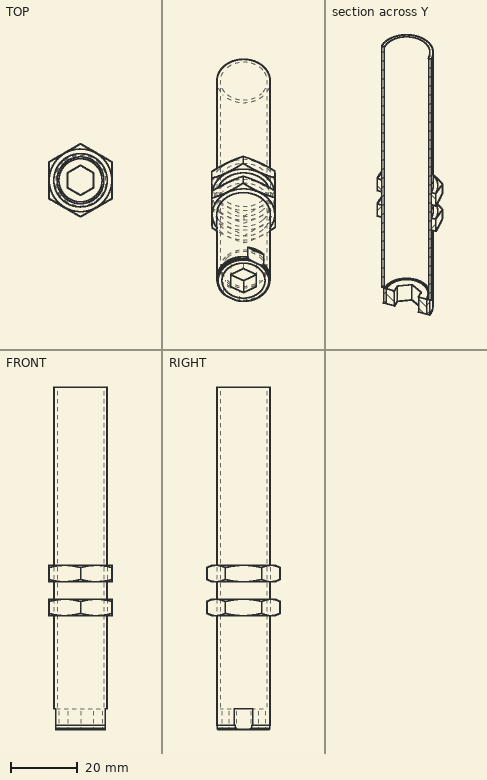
import cadquery as cq
import math

overall_length = 102.5
tube_diameter = 16.0
tube_bore = 14.0
end_diameter = 15.8
end_height = 1.2
end_chamfer = 0.3

flats_width = 15.0
flats_height = 6.2

plug_diameter = 12.9
plug_height = flats_height
hex_socket_width = 7.7

nut_width = 19.0
nut_thickness = 5.0
nut_face_diameter = 18.8
nut_bevel_angle = 25.0
nut_base_heights = (34.0, 44.2)


def hexagon_corner_diameter(width_across_flats):
    """Diameter of the circle through a hexagon's corners."""
    return width_across_flats / math.cos(math.pi / 6)


def hexagon(width_across_flats, height):
    """Hexagonal prism standing on Z = 0, with corners on the Y axis."""
    corner_diameter = hexagon_corner_diameter(width_across_flats)
    prism = cq.Workplane("XY").polygon(6, corner_diameter).extrude(height)
    return prism.rotate((0, 0, 0), (0, 0, 1), 90)


def cylinder(diameter, bottom, top):
    """Cylinder on the Z axis between two heights."""
    return cq.Workplane("XY").workplane(offset=bottom).circle(diameter / 2).extrude(top - bottom)


def cut_flats(body):
    """Trim the lower end of a body to the wrench flats on -X and +X."""
    end_zone = cylinder(2 * tube_diameter, 0, flats_height)
    kept_slab = cq.Workplane("XY").box(
        flats_width, 2 * tube_diameter, flats_height, centered=(True, True, False)
    )
    return body.cut(end_zone.cut(kept_slab))


def make_tube():
    """Sleeve with a wide bore above a narrower seat for the plug."""
    sleeve = cylinder(tube_diameter, end_height, overall_length)
    stepped_end = cylinder(end_diameter, 0, end_height).faces("<Z").chamfer(end_chamfer)
    wide_bore = cylinder(tube_bore, plug_height, overall_length)
    plug_seat = cylinder(plug_diameter, 0, plug_height)
    return cut_flats(sleeve.union(stepped_end).cut(wide_bore).cut(plug_seat))


def make_plug():
    """Round end plug with a hexagonal socket right through it."""
    return cylinder(plug_diameter, 0, plug_height).cut(hexagon(hex_socket_width, plug_height))


def make_nut(base_height):
    """Hexagonal lock nut with conically bevelled corners."""
    face_radius = nut_face_diameter / 2
    rim_radius = hexagon_corner_diameter(nut_width) / 2
    bevel_height = (rim_radius - face_radius) * math.tan(math.radians(nut_bevel_angle))
    bevelled_disc = (
        cq.Workplane("XZ")
        .moveTo(0, 0)
        .lineTo(face_radius, 0)
        .lineTo(rim_radius, bevel_height)
        .lineTo(rim_radius, nut_thickness - bevel_height)
        .lineTo(face_radius, nut_thickness)
        .lineTo(0, nut_thickness)
        .close()
        .revolve(360, (0, 0, 0), (0, 1, 0))
    )
    nut = hexagon(nut_width, nut_thickness).intersect(bevelled_disc)
    return nut.cut(cylinder(tube_diameter, 0, nut_thickness)).translate((0, 0, base_height))


tube = make_tube()
plug = make_plug()
nuts = [make_nut(base_height) for base_height in nut_base_heights]

result = cq.Compound.makeCompound([tube.val(), plug.val(), *[nut.val() for nut in nuts]])